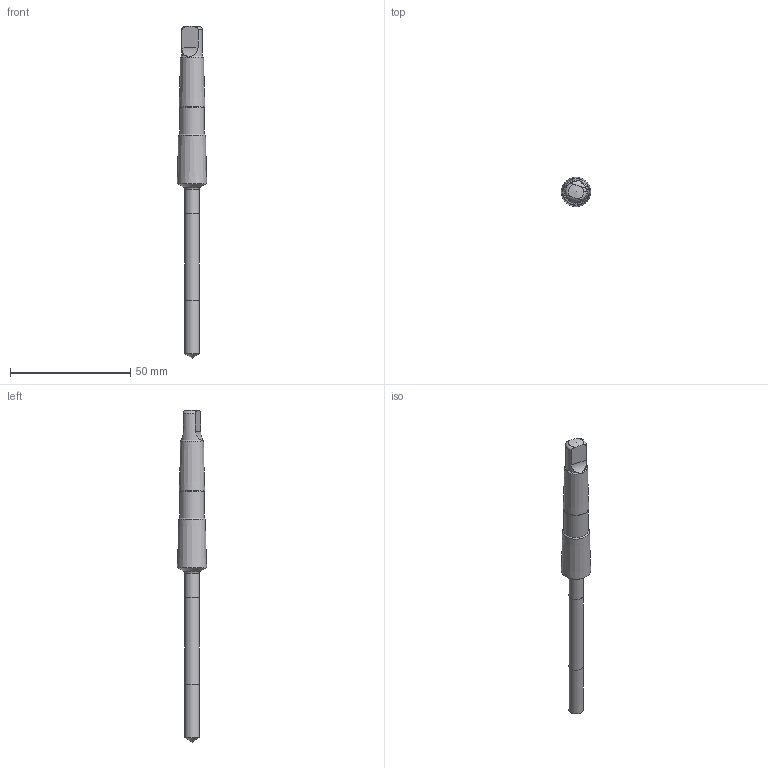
import cadquery as cq
import math

total_length = 138.0
cutting_length = 24.0
reach_length = 60.0

tool_diameter = 6.0
tip_angle = 120.0

taper_large_diameter = 12.2
taper_ratio = 0.04988
taper_length = 65.5
collar_cone_angle = 120.0
collar_fillet_radius = 1.0
neck_diameter = 10.1
neck_top_depth = 33.5
neck_bottom_depth = 45.5
shoulder_depth = 12.92

tang_diameter = 8.7
tang_thickness = 5.2
tang_end_radius = 1.2
tang_crown_height = 0.35
tang_flat_length = 8.8
tang_runout_radius = 5.0
tang_turn = -17.7

half_quarter_turn_sine = math.sqrt(0.5)

tool_radius = tool_diameter / 2
neck_radius = neck_diameter / 2
tang_radius = tang_diameter / 2
taper_large_radius = taper_large_diameter / 2
tip_height = tool_radius / math.tan(math.radians(tip_angle / 2))
taper_bottom_z = total_length - taper_length
neck_bottom_z = total_length - neck_bottom_depth
neck_top_z = total_length - neck_top_depth
shoulder_z = total_length - shoulder_depth
collar_cone_height = (taper_large_radius - tool_radius) / math.tan(math.radians(collar_cone_angle / 2))
collar_bottom_z = taper_bottom_z - collar_cone_height


def taper_radius(z):
    """Radius of the Morse taper at height z."""
    return taper_large_radius - (z - taper_bottom_z) * taper_ratio / 2


def make_cutting_end():
    """Cylinder with a conical tip."""
    return (
        cq.Workplane("XZ")
        .moveTo(0, 0)
        .lineTo(tool_radius, tip_height)
        .lineTo(tool_radius, cutting_length)
        .lineTo(0, cutting_length)
        .close()
        .revolve(360, (0, 0, 0), (0, 1, 0), clean=False)
    )


def make_shank_blank():
    """Turned shank: stem, cone, taper interrupted by a neck, and round tang."""
    fillet_turn = math.radians(collar_cone_angle / 2)
    fillet_tangent = collar_fillet_radius * math.tan(fillet_turn / 2)
    fillet_start = (tool_radius, collar_bottom_z - fillet_tangent)
    fillet_middle = (
        tool_radius + collar_fillet_radius * (1 - math.cos(fillet_turn / 2)),
        fillet_start[1] + collar_fillet_radius * math.sin(fillet_turn / 2),
    )
    fillet_end = (
        tool_radius + collar_fillet_radius * (1 - math.cos(fillet_turn)),
        fillet_start[1] + collar_fillet_radius * math.sin(fillet_turn),
    )

    neck_bottom_step = taper_radius(neck_bottom_z) - neck_radius
    neck_top_step = taper_radius(neck_top_z) - neck_radius
    shoulder_step = taper_radius(shoulder_z) - tang_radius

    rim_z = total_length - tang_crown_height
    crown_radius = tang_radius - tang_end_radius
    rim_middle = tang_end_radius * half_quarter_turn_sine

    return (
        cq.Workplane("XZ")
        .moveTo(0, cutting_length)
        .lineTo(tool_radius, cutting_length)
        .lineTo(tool_radius, reach_length)
        .lineTo(*fillet_start)
        .threePointArc(fillet_middle, fillet_end)
        .lineTo(taper_large_radius, taper_bottom_z)
        .lineTo(taper_radius(neck_bottom_z), neck_bottom_z)
        .lineTo(neck_radius, neck_bottom_z + neck_bottom_step)
        .lineTo(neck_radius, neck_top_z - neck_top_step)
        .lineTo(taper_radius(neck_top_z), neck_top_z)
        .lineTo(taper_radius(shoulder_z), shoulder_z)
        .lineTo(tang_radius, shoulder_z + shoulder_step)
        .lineTo(tang_radius, rim_z - tang_end_radius)
        .threePointArc(
            (crown_radius + rim_middle, rim_z - tang_end_radius + rim_middle),
            (crown_radius, rim_z),
        )
        .lineTo(0, total_length)
        .close()
        .revolve(360, (0, 0, 0), (0, 1, 0), clean=False)
    )


def make_tang_flat_cutter(side):
    """Tool that mills one tang flat, on the +Y (side = 1) or -Y (side = -1) side."""
    flat_y = tang_thickness / 2
    flat_bottom_z = total_length - tang_flat_length
    runout_middle = tang_runout_radius * half_quarter_turn_sine
    runout_outer_y = flat_y + tang_runout_radius
    return (
        cq.Workplane("YZ")
        .moveTo(side * flat_y, total_length)
        .lineTo(side * flat_y, flat_bottom_z)
        .threePointArc(
            (side * (runout_outer_y - runout_middle), flat_bottom_z - runout_middle),
            (side * runout_outer_y, flat_bottom_z - tang_runout_radius),
        )
        .lineTo(side * runout_outer_y, total_length)
        .close()
        .extrude(tang_diameter, both=True)
        .rotate((0, 0, 0), (0, 0, 1), tang_turn)
    )


def make_shank():
    """Morse taper shank with two flats on its tang."""
    shank = make_shank_blank()
    for side in (1, -1):
        shank = shank.cut(make_tang_flat_cutter(side), clean=False)
    return shank


cutting_end = make_cutting_end()
shank = make_shank()

result = cq.Compound.makeCompound([cutting_end.val(), shank.val()])